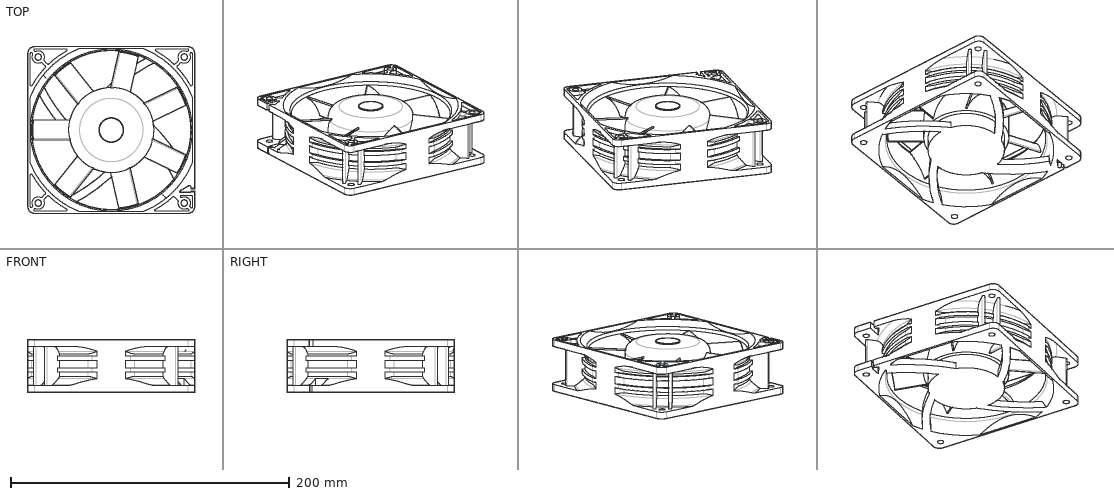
import cadquery as cq
import math

side = 120.0
height = 38.0
half_side = side / 2
corner_radius = 5.0
flange_thickness = 5.0
upper_flange_bottom = height - flange_thickness

bore_radius = 57.1
mouth_radius = 62.9
throat_radius = 58.2
mouth_flat = 58.5
upper_throat_depth = 4.1
upper_lead_in_depth = 6.4
lower_throat_depth = 8.8
lower_lead_in_depth = 10.8

duct_radius = 59.5
duct_shoulder_radius = 60.8
duct_lower_flare_radius = 65.9
duct_lower_foot_radius = 67.1
duct_upper_flare_radius = 65.0
duct_upper_flare_middle = (62.3, 31.7)
duct_lower_flare_bottom = 5.8
duct_lower_shoulder = 10.0
duct_lower_wall = 11.6
duct_upper_wall = 27.6
duct_upper_shoulder = 29.5

ring_radius = 61.5
ring_height = 3.0
ring_bottoms = (14.6, 23.0)

panel_half_width = 10.1
panel_root_half_width = 16.7
panel_root = math.sqrt(duct_radius**2 - panel_root_half_width**2)

hole_offset = 52.5
hole_diameter = 4.5
boss_radius = 4.5
web_thickness = 2.2
web_offset = 5.6
web_end = 73.1
web_start = 58.2

pocket_depth = 3.0
pocket_wall = 58.2
pocket_inner_radius = 65.3
pocket_rib_width = 2.2
pocket_fillet = 0.7
slot_corner_pocket_fillet = 0.5
short_pocket_top = -47.0
short_pocket_left = 49.5

slot_tip_x = 49.3
slot_lower_y = -44.5
slot_tip_upper_y = -43.9
slot_crest_x = 55.9
slot_crest_y = -39.8
slot_bend_x = 56.9
slot_bend_y = -40.3
slot_neck_x = 57.1
slot_upper_y = -41.6
narrow_mouth_upper_y = -42.2
narrow_mouth_lower_y = -43.7
notch_inner_offset = web_offset - web_thickness / 2
notch_outer_offset = 15.2

base_radius = 27.5
strut_count = 4
strut_width = 5.8
wire_strut_extra_width = 4.9
wire_strut_index = 2
strut_thickness = flange_thickness
strut_arc_radius = 120.0
strut_arc_center = (56.3, 83.6)
strut_start_angle = 203.5
strut_end_angle = 228.0

hub_radius = 30.6
hub_bottom = 11.4
hub_top = 37.1
hub_fillet = 7.8
cap_radius = 8.9
cap_height = 0.7
cap_chamfer = 0.4
blade_count = 7
blade_tip_radius = 56.4
blade_root_radius = 24.0
blade_half_width = 6.7
blade_low = 14.0
blade_high = 31.3
blade_thickness = 1.2
blade_camber = 2.2


def square_prism(half_width, bottom, top):
    """Square prism centred on the axis."""
    width = 2 * half_width
    return cq.Workplane("XY").workplane(offset=bottom).rect(width, width).extrude(top - bottom)


def disc(radius, bottom, top):
    return cq.Workplane("XY").workplane(offset=bottom).circle(radius).extrude(top - bottom)


def rounded_block(bottom, top):
    return square_prism(half_side, bottom, top).edges("|Z").fillet(corner_radius)


def duct_wall():
    """Flared outside of the duct with its two rings, cut flush with the sides."""
    profile = (
        cq.Workplane("XZ")
        .lineTo(duct_lower_foot_radius, 0)
        .lineTo(duct_lower_foot_radius, flange_thickness)
        .lineTo(duct_lower_flare_radius, duct_lower_flare_bottom)
        .lineTo(duct_shoulder_radius, duct_lower_shoulder)
        .lineTo(duct_radius, duct_lower_wall)
        .lineTo(duct_radius, duct_upper_wall)
        .lineTo(duct_shoulder_radius, duct_upper_shoulder)
        .threePointArc(duct_upper_flare_middle, (duct_upper_flare_radius, upper_flange_bottom))
        .lineTo(duct_upper_flare_radius, height)
        .lineTo(0, height)
        .close()
    )
    wall = profile.revolve(360, (0, 0, 0), (0, 1, 0))
    for bottom in ring_bottoms:
        wall = wall.union(disc(ring_radius, bottom, bottom + ring_height))
    return wall.intersect(rounded_block(0, height))


def side_panel():
    """Tapered block that carries the flat middle of the -Y side."""
    return (
        cq.Workplane("XY")
        .moveTo(-panel_half_width, -half_side)
        .lineTo(panel_half_width, -half_side)
        .lineTo(panel_root_half_width, -panel_root)
        .lineTo(-panel_root_half_width, -panel_root)
        .close()
        .extrude(height)
    )


def corner_web(corner_angle, offset):
    """Upright plate between the flanges, parallel to a corner diagonal, with a round tip."""
    half_thickness = web_thickness / 2
    round_start = web_end - half_thickness
    return (
        cq.Workplane("XY")
        .workplane(offset=flange_thickness)
        .moveTo(web_start, offset - half_thickness)
        .lineTo(round_start, offset - half_thickness)
        .threePointArc((web_end, offset), (round_start, offset + half_thickness))
        .lineTo(web_start, offset + half_thickness)
        .close()
        .extrude(upper_flange_bottom - flange_thickness)
        .rotate((0, 0, 0), (0, 0, 1), corner_angle)
    )


def duct_opening():
    """Bore with a flared mouth at each end; flats trim the flares."""
    profile = (
        cq.Workplane("XZ")
        .lineTo(mouth_radius, 0)
        .lineTo(throat_radius, lower_throat_depth)
        .lineTo(bore_radius, lower_lead_in_depth)
        .lineTo(bore_radius, height - upper_lead_in_depth)
        .lineTo(throat_radius, height - upper_throat_depth)
        .lineTo(mouth_radius, height)
        .lineTo(0, height)
        .close()
    )
    opening = profile.revolve(360, (0, 0, 0), (0, 1, 0))
    return opening.intersect(square_prism(mouth_flat, 0, height))


def corner_pocket():
    """Two recesses at the +X +Y corner, split by a rib and the screw boss."""
    floor = height - pocket_depth
    pocket = (
        cq.Workplane("XY")
        .workplane(offset=floor)
        .rect(pocket_wall, pocket_wall, centered=False)
        .extrude(pocket_depth)
        .cut(disc(pocket_inner_radius, floor, height))
    )
    boss = disc(boss_radius, floor, height).translate((hole_offset, hole_offset, 0))
    rib = (
        cq.Workplane("XY")
        .workplane(offset=floor)
        .rect(2 * side, pocket_rib_width)
        .extrude(pocket_depth)
        .rotate((0, 0, 0), (0, 0, 1), 45)
    )
    return pocket.cut(boss).cut(rib)


def round_pocket(pocket, radius):
    return pocket.edges("|Z").fillet(radius)


def slot_corner_pocket():
    """Recesses at the +X -Y corner; the one along +X stops short of the wire slot."""
    pocket = corner_pocket().rotate((0, 0, 0), (0, 0, 1), -90)
    strip = (
        cq.Workplane("XY")
        .moveTo(half_side, 0)
        .lineTo(half_side, short_pocket_top)
        .lineTo(short_pocket_left, short_pocket_top)
        .lineTo(short_pocket_left, -hole_offset)
        .lineTo(0, 0)
        .close()
        .extrude(height)
    )
    return pocket.cut(strip)


def wire_slot():
    """Wedge-shaped slot through both flanges; its mouth is narrower in the lower one."""
    chamber = (
        cq.Workplane("XY")
        .moveTo(slot_tip_x, slot_lower_y)
        .lineTo(slot_tip_x, slot_tip_upper_y)
        .lineTo(slot_crest_x, slot_crest_y)
        .threePointArc((slot_bend_x, slot_bend_y), (slot_neck_x, slot_upper_y))
        .lineTo(slot_neck_x, slot_lower_y)
        .close()
        .extrude(height)
    )

    def mouth(lower_y, upper_y, bottom, top):
        return (
            cq.Workplane("XY")
            .box(half_side - slot_neck_x, upper_y - lower_y, top - bottom, centered=False)
            .translate((slot_neck_x, lower_y, bottom))
        )

    lower_mouth = mouth(narrow_mouth_lower_y, narrow_mouth_upper_y, 0, flange_thickness)
    upper_mouth = mouth(slot_lower_y, slot_upper_y, flange_thickness, height)
    return chamber.union(lower_mouth).union(upper_mouth)


def wire_notch():
    """Gap through the lower duct flare that replaces one web beside the wire slot."""
    width = notch_outer_offset - notch_inner_offset
    return (
        cq.Workplane("XY")
        .box(half_side, width, duct_lower_shoulder - flange_thickness, centered=False)
        .translate((duct_radius / 2, notch_inner_offset, flange_thickness))
        .rotate((0, 0, 0), (0, 0, 1), -45)
        .cut(disc(duct_shoulder_radius, 0, height))
    )


def strut_point(radius, angle):
    turn = math.radians(angle)
    center_x, center_y = strut_arc_center
    return (center_x + radius * math.cos(turn), center_y + radius * math.sin(turn))


def strut(extra_width):
    """Curved arm from the lower flange to the motor base, widened on its hollow side."""
    outer = strut_arc_radius + strut_width / 2
    inner = strut_arc_radius - strut_width / 2 - extra_width
    middle_angle = (strut_start_angle + strut_end_angle) / 2
    return (
        cq.Workplane("XY")
        .moveTo(*strut_point(outer, strut_start_angle))
        .threePointArc(strut_point(outer, middle_angle), strut_point(outer, strut_end_angle))
        .lineTo(*strut_point(inner, strut_end_angle))
        .threePointArc(strut_point(inner, middle_angle), strut_point(inner, strut_start_angle))
        .close()
        .extrude(strut_thickness)
    )


def build_frame():
    frame = duct_wall()
    frame = frame.union(rounded_block(0, flange_thickness))
    frame = frame.union(rounded_block(upper_flange_bottom, height))
    for quarter in range(4):
        frame = frame.union(side_panel().rotate((0, 0, 0), (0, 0, 1), 90 * quarter))

    slot_corner_angle = -45
    for corner_angle in (slot_corner_angle, 45, 135, 225):
        frame = frame.union(corner_web(corner_angle, -web_offset))
        if corner_angle != slot_corner_angle:
            frame = frame.union(corner_web(corner_angle, web_offset))

    frame = frame.cut(wire_notch()).cut(wire_slot()).cut(duct_opening())

    for turn in (0, 90, 180):
        pocket = round_pocket(corner_pocket(), pocket_fillet)
        frame = frame.cut(pocket.rotate((0, 0, 0), (0, 0, 1), turn))
    frame = frame.cut(round_pocket(slot_corner_pocket(), slot_corner_pocket_fillet))
    holes = (
        cq.Workplane("XY")
        .rect(2 * hole_offset, 2 * hole_offset, forConstruction=True)
        .vertices()
        .circle(hole_diameter / 2)
        .extrude(height)
    )
    frame = frame.cut(holes)

    frame = frame.union(disc(base_radius, 0, hub_bottom))
    for index in range(strut_count):
        extra_width = wire_strut_extra_width if index == wire_strut_index else 0
        arm = strut(extra_width).rotate((0, 0, 0), (0, 0, 1), index * 360 / strut_count)
        frame = frame.union(arm)
    return frame


def blade():
    """Cambered, pitched blade along +X with a round tip that clears the bore."""
    chord = math.hypot(2 * blade_half_width, blade_high - blade_low)
    half_chord = chord / 2
    half_thickness = blade_thickness / 2
    pitch = math.degrees(math.asin((blade_high - blade_low) / chord))
    section = (
        cq.Workplane("YZ")
        .workplane(offset=blade_root_radius)
        .moveTo(-half_chord, -half_thickness)
        .threePointArc((0, blade_camber - half_thickness), (half_chord, -half_thickness))
        .threePointArc((half_chord + half_thickness, 0), (half_chord, half_thickness))
        .threePointArc((0, blade_camber + half_thickness), (-half_chord, half_thickness))
        .threePointArc((-half_chord - half_thickness, 0), (-half_chord, -half_thickness))
        .close()
        .extrude(half_side - blade_root_radius)
    )
    placed = section.rotate((0, 0, 0), (1, 0, 0), pitch).translate((0, 0, (blade_low + blade_high) / 2))
    return placed.intersect(disc(blade_tip_radius, 0, height))


def build_impeller():
    impeller = disc(hub_radius, hub_bottom, hub_top).faces(">Z").edges().fillet(hub_fillet)
    cap = disc(cap_radius, hub_top, hub_top + cap_height).faces(">Z").edges().chamfer(cap_chamfer)
    impeller = impeller.union(cap)
    first_angle = 180
    for index in range(blade_count):
        angle = first_angle + index * 360 / blade_count
        impeller = impeller.union(blade().rotate((0, 0, 0), (0, 0, 1), angle))
    return impeller


frame = build_frame()
impeller = build_impeller()

result = cq.Compound.makeCompound([frame.val(), impeller.val()])